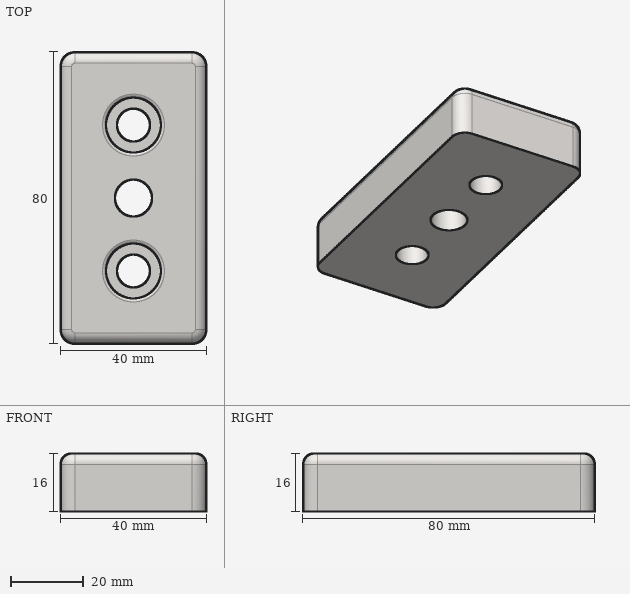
import cadquery as cq

width = 40.0
length = 80.0
height = 16.0
corner_radius = 4.0
top_edge_radius = 3.0

center_hole_diameter = 10.1
screw_hole_diameter = 9.0
screw_spacing = length / 2
counterbore_diameter = 15.0
counterbore_depth = height / 2
counterbore_rim_radius = 1.0


def rounded_block():
    """Block standing on Z = 0 with rounded upright corners and top edges."""
    block = cq.Workplane("XY").box(width, length, height, centered=(True, True, False))
    block = block.edges("|Z").fillet(corner_radius)
    return block.faces(">Z").edges().fillet(top_edge_radius)


def add_center_hole(body):
    """Plain through hole in the middle of the block."""
    return body.faces(">Z").workplane(origin=(0, 0, height)).hole(center_hole_diameter)


def add_screw_holes(body):
    """Two counterbored through holes, with the counterbore mouths rounded over."""
    screw_places = [(0, side * screw_spacing / 2) for side in (-1, 1)]
    body = (
        body.faces(">Z")
        .workplane(origin=(0, 0, height))
        .pushPoints(screw_places)
        .cboreHole(screw_hole_diameter, counterbore_diameter, counterbore_depth)
    )
    mouths = body.faces(">Z").edges("%CIRCLE").edges(cq.selectors.RadiusNthSelector(-1))
    return mouths.fillet(counterbore_rim_radius)


result = add_screw_holes(add_center_hole(rounded_block()))